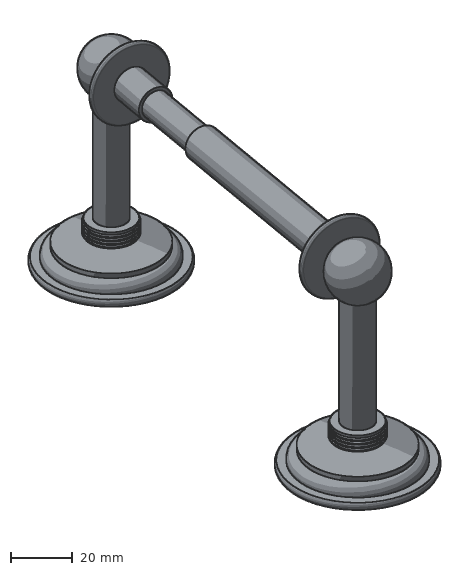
import cadquery as cq
import math

TOTAL_LENGTH = 202.0
BASE_DIAMETER = 54.0
BASE_RADIUS = BASE_DIAMETER / 2
POST_X = TOTAL_LENGTH / 2 - BASE_RADIUS
ROLLER_Z = 74.7

FLANGE_TOP = 2.8
FLANGE_EDGE_BULGE = 0.6
STEP_RADIUS = 23.2
STEP_TOP = 6.9
DRUM_RADIUS = 19.8
DRUM_TOP = 8.7
CONE_TOP = 11.5

COLLAR_RADIUS = 9.0
COLLAR_TOP = 17.8
RING_COUNT = 4
RING_GAP = 0.5
RING_BULGE = 0.5
LIP_HEIGHT = 1.0

POST_RADIUS = 6.0
BALL_RADIUS = 11.1

DISC_RADIUS = 15.2
DISC_OFFSET = 9.9
DISC_THICKNESS = 2.0
DISC_EDGE_ROUND = 0.6
SLEEVE_RADIUS = 6.5
ROD_RADIUS = 5.3
HUB_END_OFFSET = 26.7
SLEEVE_START_X = -19.4

DISC_FACE_X = POST_X - DISC_OFFSET


def base_and_collar():
    """Turned foot of a post, centred on the Z axis."""
    flange_face_radius = BASE_RADIUS - FLANGE_EDGE_BULGE
    ring_pitch = (COLLAR_TOP - LIP_HEIGHT - CONE_TOP) / RING_COUNT
    ring_height = ring_pitch - RING_GAP
    bend_share = math.sqrt(0.5)
    step_bend = (
        DRUM_RADIUS + (STEP_RADIUS - DRUM_RADIUS) * bend_share,
        FLANGE_TOP + (STEP_TOP - FLANGE_TOP) * bend_share,
    )
    profile = (
        cq.Workplane("XZ")
        .lineTo(flange_face_radius, 0)
        .threePointArc((BASE_RADIUS, FLANGE_TOP / 2), (flange_face_radius, FLANGE_TOP))
        .lineTo(STEP_RADIUS, FLANGE_TOP)
        .threePointArc(step_bend, (DRUM_RADIUS, STEP_TOP))
        .lineTo(DRUM_RADIUS, DRUM_TOP)
        .lineTo(COLLAR_RADIUS, CONE_TOP)
    )
    for ring in range(RING_COUNT):
        ring_bottom = CONE_TOP + RING_GAP + ring * ring_pitch
        profile = profile.lineTo(COLLAR_RADIUS, ring_bottom).threePointArc(
            (COLLAR_RADIUS + RING_BULGE, ring_bottom + ring_height / 2),
            (COLLAR_RADIUS, ring_bottom + ring_height),
        )
    profile = profile.lineTo(COLLAR_RADIUS, COLLAR_TOP).lineTo(0, COLLAR_TOP).close()
    return profile.revolve(360, (0, 0, 0), (0, 1, 0))


def make_post(side):
    """Base, column and ball; side is -1 for the left post and +1 for the right one."""
    column = cq.Workplane("XY").circle(POST_RADIUS).extrude(ROLLER_Z)
    ball = cq.Workplane("XY").sphere(BALL_RADIUS).translate((0, 0, ROLLER_Z))
    post = base_and_collar().union(column).union(ball).translate((side * POST_X, 0, 0))
    clearance = (
        cq.Workplane("YZ", origin=(-DISC_FACE_X, 0, ROLLER_Z))
        .circle(DISC_RADIUS)
        .extrude(2 * DISC_FACE_X)
    )
    return post.cut(clearance)


def roller_cylinder(radius, start_x, end_x):
    """Solid cylinder on the roller axis."""
    return cq.Workplane("YZ", origin=(start_x, 0, ROLLER_Z)).circle(radius).extrude(end_x - start_x)


def make_disc(start_x):
    """Round-edged end disc whose left face is at start_x."""
    return roller_cylinder(DISC_RADIUS, start_x, start_x + DISC_THICKNESS).edges().fillet(DISC_EDGE_ROUND)


def make_rod():
    """Left half of the roller: disc, hub and the thinner rod that meets the sleeve."""
    hub = roller_cylinder(SLEEVE_RADIUS, -DISC_FACE_X + DISC_THICKNESS / 2, -POST_X + HUB_END_OFFSET)
    rod = roller_cylinder(ROD_RADIUS, -POST_X + HUB_END_OFFSET, SLEEVE_START_X)
    return make_disc(-DISC_FACE_X).union(hub).union(rod)


def make_sleeve():
    """Right half of the roller: thick sleeve and disc."""
    sleeve = roller_cylinder(SLEEVE_RADIUS, SLEEVE_START_X, DISC_FACE_X - DISC_THICKNESS / 2)
    return make_disc(DISC_FACE_X - DISC_THICKNESS).union(sleeve)


posts = [make_post(side).val() for side in (-1, 1)]
rod = make_rod()
sleeve = make_sleeve()

result = cq.Compound.makeCompound([*posts, rod.val(), sleeve.val()])